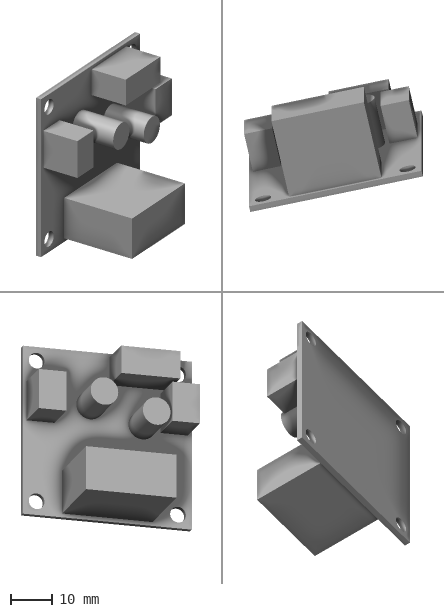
import cadquery as cq

board_size = 43.0
board_thickness = 1.5
hole_diameter = 4.0
hole_spacing = 36.0

edge_margin = 1.0
block_gap = 1.0
low_block_depth = 10.0
tall_block_depth = 20.0

top_block_width = 15.0
top_block_height = 7.0
top_block_y = 8.0

side_block_width = 7.0
side_block_height = 10.0

bottom_block_width = 23.0
bottom_block_height = 11.0

can_diameter = 7.0
can_depth = 12.0
can_centers = [(-4.4, 7.8), (8.9, 3.9)]

inner_edge = board_size / 2 - edge_margin


def block(depth, width, height, y, z):
    """Box starting at the board back face and standing out by depth, centred on (y, z)."""
    return (
        cq.Workplane("YZ")
        .center(y, z)
        .rect(width, height)
        .extrude(board_thickness + depth)
    )


result = cq.Workplane("YZ").rect(board_size, board_size).extrude(board_thickness)

top_block_z = inner_edge - top_block_height / 2
result = result.union(
    block(low_block_depth, top_block_width, top_block_height, top_block_y, top_block_z)
)

side_block_y = inner_edge - side_block_width / 2
side_block_z = inner_edge - top_block_height - block_gap - side_block_height / 2
for side in (-1, 1):
    result = result.union(
        block(low_block_depth, side_block_width, side_block_height, side * side_block_y, side_block_z)
    )

bottom_block_z = -inner_edge + bottom_block_height / 2
result = result.union(
    block(tall_block_depth, bottom_block_width, bottom_block_height, 0, bottom_block_z)
)

cans = (
    cq.Workplane("YZ")
    .pushPoints(can_centers)
    .circle(can_diameter / 2)
    .extrude(board_thickness + can_depth)
)
result = result.union(cans)

holes = (
    cq.Workplane("YZ")
    .rect(hole_spacing, hole_spacing, forConstruction=True)
    .vertices()
    .circle(hole_diameter / 2)
    .extrude(board_thickness)
)
result = result.cut(holes)